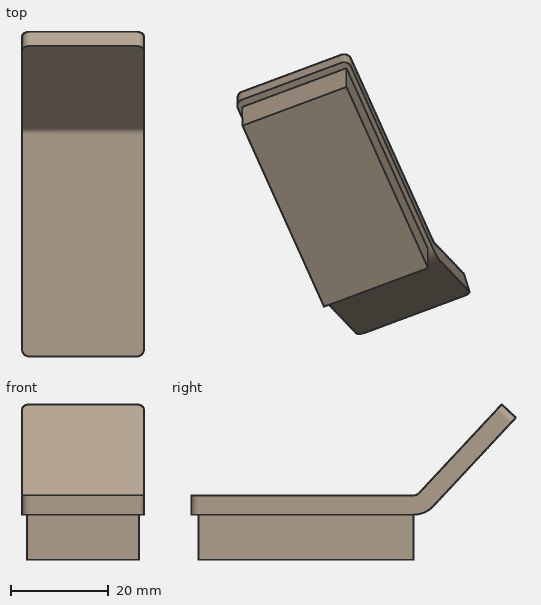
import cadquery as cq
import math

total_length = 66.45
plate_width = 25.0
plate_thickness = 4.0
corner_radius = 1.5

block_inset = corner_radius
block_length = 44.0
block_width = 23.0
block_height = 9.25

bend_angle = 47.0
inner_bend_radius = 1.5
outer_bend_radius = inner_bend_radius + plate_thickness
bend_start = block_inset + block_length
bend_center_z = block_height + outer_bend_radius

bend_radians = math.radians(bend_angle)
outer_bend_reach = outer_bend_radius * math.sin(bend_radians)
leg_length = (total_length - bend_start - outer_bend_reach) / math.cos(bend_radians)


def bend_point(radius, angle):
    """Point (Y, Z) on a bend arc, at an angle measured from its lowest point."""
    return (
        bend_start + radius * math.sin(angle),
        bend_center_z - radius * math.cos(angle),
    )


def along_leg(point):
    """Move a (Y, Z) point up the inclined leg to its tip."""
    y, z = point
    return (
        y + leg_length * math.cos(bend_radians),
        z + leg_length * math.sin(bend_radians),
    )


def make_bent_plate():
    outer_end = bend_point(outer_bend_radius, bend_radians)
    inner_end = bend_point(inner_bend_radius, bend_radians)
    plate = (
        cq.Workplane("YZ")
        .moveTo(0, block_height)
        .lineTo(bend_start, block_height)
        .threePointArc(bend_point(outer_bend_radius, bend_radians / 2), outer_end)
        .lineTo(*along_leg(outer_end))
        .lineTo(*along_leg(inner_end))
        .lineTo(*inner_end)
        .threePointArc(
            bend_point(inner_bend_radius, bend_radians / 2),
            bend_point(inner_bend_radius, 0),
        )
        .lineTo(0, block_height + plate_thickness)
        .close()
        .extrude(plate_width / 2, both=True)
    )
    plate = plate.faces("<Y").edges("|Z").fillet(corner_radius)
    leg_direction = cq.Vector(0, math.cos(bend_radians), math.sin(bend_radians))
    tip_face = plate.faces(cq.selectors.DirectionMinMaxSelector(leg_direction))
    return tip_face.edges("not |X").fillet(corner_radius)


def make_block():
    return (
        cq.Workplane("XY")
        .box(block_width, block_length, block_height, centered=(True, False, False))
        .translate((0, block_inset, 0))
    )


result = make_bent_plate().union(make_block())